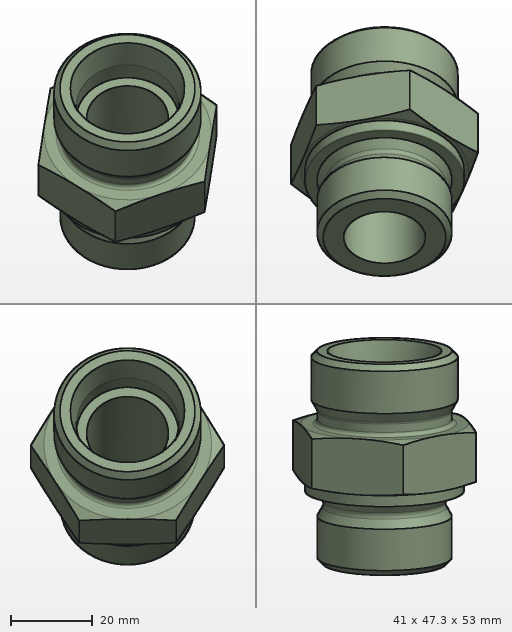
import cadquery as cq
import math

total_length = 53.0
collar_bottom = 18.0
hex_bottom = 21.0
hex_top = 35.0
lower_thread_top = 11.8
upper_thread_bottom = 40.95

upper_thread_radius = 36.0 / 2
lower_thread_radius = 33.0 / 2
neck_radius = lower_thread_radius
collar_radius = 39.0 / 2
end_chamfer = 1.5
relief_angle = math.radians(30)
groove_fillet = 1.6
neck_fillet = 1.05
collar_edge_fillet = 0.15

across_flats = 41.0
hex_half_sector = 30
across_corners = across_flats / math.cos(math.radians(hex_half_sector))
hex_chamfer_angle = math.radians(15)

bore_diameter = 20.0
socket_radius = 25.0 / 2
socket_depth = 12.15
cone_depth = 6.9
cone_half_angle = math.radians(12)
cone_mouth_radius = socket_radius + cone_depth * math.tan(cone_half_angle)

groove_z = (lower_thread_top + collar_bottom) / 2
groove_radius = lower_thread_radius - (collar_bottom - groove_z) * math.tan(relief_angle)
neck_top = upper_thread_bottom - (upper_thread_radius - neck_radius) / math.tan(relief_angle)


def revolve_profile(points):
    """Revolve a closed (radius, height) outline about the Z axis."""
    return cq.Workplane("XZ").polyline(points).close().revolve(360, (0, 0, 0), (0, 1, 0))


def fillet_ring(body, ring_radius, height, fillet_radius):
    """Fillet the circular edge with the given radius and height."""
    tolerance = 0.005

    def is_ring(edge):
        return (
            edge.geomType() == "CIRCLE"
            and abs(edge.radius() - ring_radius) < tolerance
            and abs(edge.Center().z - height) < tolerance
        )

    rings = body.edges().filter(is_ring)
    return rings.fillet(fillet_radius)


def make_hexagon():
    """Hexagon with flats facing +X and -X and conically chamfered corners."""
    flat_radius = across_flats / 2
    envelope_radius = across_corners / 2
    drop = (envelope_radius - flat_radius) * math.tan(hex_chamfer_angle)
    prism = (
        cq.Workplane("XY")
        .workplane(offset=hex_bottom)
        .polygon(6, across_corners)
        .extrude(hex_top - hex_bottom)
        .rotate((0, 0, 0), (0, 0, 1), hex_half_sector)
    )
    envelope = revolve_profile([
        (0, hex_bottom),
        (flat_radius, hex_bottom),
        (envelope_radius, hex_bottom + drop),
        (envelope_radius, hex_top - drop),
        (flat_radius, hex_top),
        (0, hex_top),
    ])
    return prism.intersect(envelope)


def make_lower_end():
    """Lower threaded end, V relief groove and collar."""
    body = revolve_profile([
        (0, 0),
        (lower_thread_radius - end_chamfer, 0),
        (lower_thread_radius, end_chamfer),
        (lower_thread_radius, lower_thread_top),
        (groove_radius, groove_z),
        (lower_thread_radius, collar_bottom),
        (collar_radius, collar_bottom),
        (collar_radius, hex_bottom),
        (0, hex_bottom),
    ])
    body = fillet_ring(body, groove_radius, groove_z, groove_fillet)
    return fillet_ring(body, collar_radius, collar_bottom, collar_edge_fillet)


def make_upper_end():
    """Upper threaded end on its relieved neck."""
    body = revolve_profile([
        (0, hex_top),
        (neck_radius, hex_top),
        (neck_radius, neck_top),
        (upper_thread_radius, upper_thread_bottom),
        (upper_thread_radius, total_length - end_chamfer),
        (upper_thread_radius - end_chamfer, total_length),
        (0, total_length),
    ])
    return fillet_ring(body, neck_radius, neck_top, neck_fillet)


def make_socket():
    """Stepped cavity in the top: cone seat above a cylindrical tube socket."""
    return revolve_profile([
        (0, total_length - socket_depth),
        (socket_radius, total_length - socket_depth),
        (socket_radius, total_length - cone_depth),
        (cone_mouth_radius, total_length),
        (0, total_length),
    ])


body = make_hexagon().union(make_lower_end()).union(make_upper_end())
body = fillet_ring(body, neck_radius, hex_top, neck_fillet)
bore = cq.Workplane("XY").circle(bore_diameter / 2).extrude(total_length)
result = body.cut(make_socket()).cut(bore)